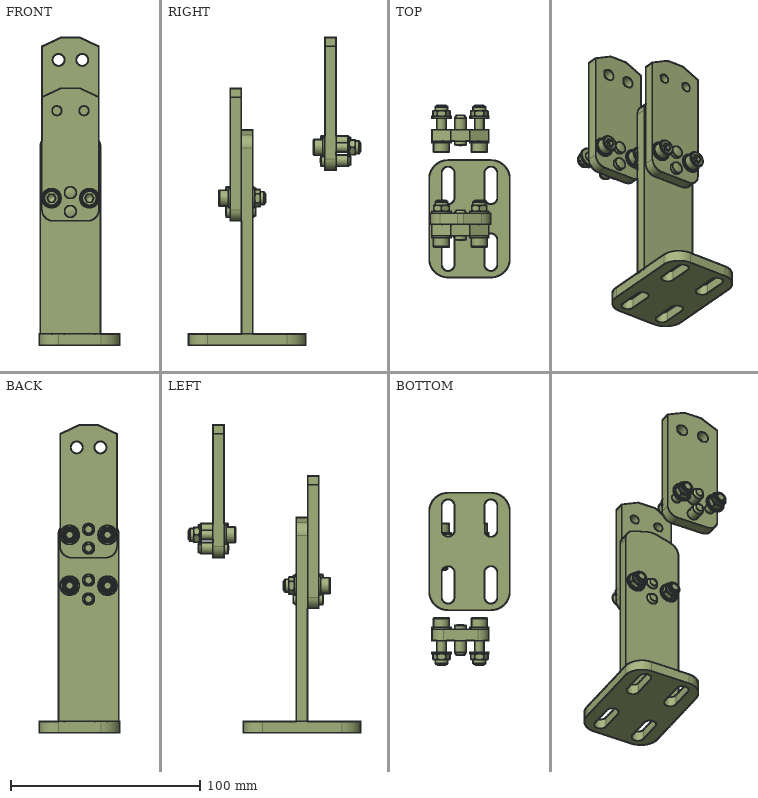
import cadquery as cq
import math

OVERALL_HEIGHT = 162.5

BASE_WIDTH = 42.7
BASE_DEPTH = 62.0
BASE_THICKNESS = 6.0
BASE_CORNER_RADIUS = 10.0
SLOT_WIDTH = 6.7
SLOT_LENGTH = 19.7
SLOT_SPACING_X = 22.6
SLOT_SPACING_Y = 35.3

UPRIGHT_WIDTH = 32.0
UPRIGHT_THICKNESS = 6.0
UPRIGHT_TOP = 113.8
UPRIGHT_FLAT_WIDTH = 3.1
UPRIGHT_SHOULDER_DROP = 4.0
UPRIGHT_SHOULDER_RADIUS = 7.0
UPRIGHT_CENTER_X = 16.5
UPRIGHT_FRONT_Y = (BASE_DEPTH - UPRIGHT_THICKNESS) / 2

PLATE_WIDTH = 30.0
PLATE_THICKNESS = 6.0
PLATE_LENGTH = 70.0
PLATE_FLAT_WIDTH = 10.0
PLATE_SHOULDER_DROP = 4.7
PLATE_CORNER_RADIUS = 6.0
TOP_HOLE_DROP = 11.9

NEAR_PLATE_BOTTOM = 65.7
NEAR_HOLE_DIAMETER = 5.0
NEAR_HOLE_SPACING = 14.3

FAR_SHIFT_Y = 50.0
FAR_PLATE_BOTTOM = OVERALL_HEIGHT - PLATE_LENGTH
FAR_HOLE_DIAMETER = 6.2
FAR_HOLE_SPACING = 12.5

PIN_DIAMETER = 6.2
PIN_FRONT_REACH = 2.0
PIN_DOME_HEIGHT = 0.4
PIN_TAPER_LENGTH = 1.6
PIN_TIP_DIAMETER = 4.2
PIN_HEIGHTS = (5.0, 15.0)

SCREW_SPACING = 20.0
SCREW_HEIGHT = 12.0
SCREW_DIAMETER = 5.0
SCREW_HOLE_DIAMETER = 5.5
WASHER_DIAMETER = 10.0
WASHER_THICKNESS = 1.0
HEAD_DIAMETER = 8.5
HEAD_HEIGHT = 5.0
HEAD_CHAMFER = 0.5
SOCKET_FLATS = 4.0
SOCKET_DEPTH = 2.5
SOCKET_CONE_HEIGHT = 1.3
NUT_FLATS = 8.0
NUT_HEX_HEIGHT = 3.1
COLLAR_DIAMETER = 6.8
NUT_CHAMFER = 0.5
COLLAR_HEIGHT = 2.3
COLLAR_CHAMFER = 0.5
SCREW_TIP_REACH = 0.57
SCREW_TIP_CHAMFER = 0.5

HEX_CORNER_RATIO = 1 / math.cos(math.radians(30))
SCREW_XS = [UPRIGHT_CENTER_X + side * SCREW_SPACING / 2 for side in (-1, 1)]


def rod(x, z, y_start, y_end, diameter):
    """Round bar along Y between two Y positions."""
    return (
        cq.Workplane("XZ", origin=(x, y_start, z))
        .circle(diameter / 2)
        .extrude(y_start - y_end)
    )


def hex_bar(x, z, y_start, y_end, flats, turn):
    """Hexagonal bar along Y; without turn two corners point along X."""
    bar = (
        cq.Workplane("XZ", origin=(x, y_start, z))
        .polygon(6, flats * HEX_CORNER_RATIO)
        .extrude(y_start - y_end)
    )
    return bar.rotate((x, 0, z), (x, 1, z), turn)


def gabled_outline(width, bottom, top, flat_width, shoulder_drop):
    """Upright outline with a short flat top and a slope down to each side."""
    left = UPRIGHT_CENTER_X - width / 2
    right = UPRIGHT_CENTER_X + width / 2
    flat_left = UPRIGHT_CENTER_X - flat_width / 2
    flat_right = UPRIGHT_CENTER_X + flat_width / 2
    shoulder = top - shoulder_drop
    return [
        (left, bottom),
        (right, bottom),
        (right, shoulder),
        (flat_right, top),
        (flat_left, top),
        (left, shoulder),
    ]


def make_base():
    """Rounded rectangle with four slots running along Y."""
    base = (
        cq.Workplane("XY")
        .rect(BASE_WIDTH, BASE_DEPTH)
        .extrude(BASE_THICKNESS)
        .edges("|Z")
        .fillet(BASE_CORNER_RADIUS)
        .faces(">Z")
        .workplane()
        .rarray(SLOT_SPACING_X, SLOT_SPACING_Y, 2, 2)
        .slot2D(SLOT_LENGTH, SLOT_WIDTH, 90)
        .cutThruAll()
    )
    return base.translate((BASE_WIDTH / 2, BASE_DEPTH / 2, 0))


def make_upright():
    """Post with a low gable and rounded shoulders."""
    outline = gabled_outline(
        UPRIGHT_WIDTH, 0, UPRIGHT_TOP, UPRIGHT_FLAT_WIDTH, UPRIGHT_SHOULDER_DROP
    )
    return (
        cq.Workplane("XZ", origin=(0, UPRIGHT_FRONT_Y, 0))
        .polyline(outline)
        .close()
        .extrude(-UPRIGHT_THICKNESS)
        .edges("|Y and (<X or >X)")
        .edges(">Z")
        .fillet(UPRIGHT_SHOULDER_RADIUS)
    )


def make_stand():
    """Base and upright in one piece, bored for the near plate's screws and pins."""
    stand = make_base().union(make_upright())
    y_back = UPRIGHT_FRONT_Y + UPRIGHT_THICKNESS
    for x in SCREW_XS:
        z = NEAR_PLATE_BOTTOM + SCREW_HEIGHT
        stand = stand.cut(rod(x, z, UPRIGHT_FRONT_Y, y_back, SCREW_HOLE_DIAMETER))
    for height in PIN_HEIGHTS:
        z = NEAR_PLATE_BOTTOM + height
        stand = stand.cut(rod(UPRIGHT_CENTER_X, z, UPRIGHT_FRONT_Y, y_back, PIN_DIAMETER))
    return stand


def make_plate(plate_back, bottom, hole_spacing, hole_diameter):
    """Gabled plate with rounded lower corners and two holes near its top."""
    top = bottom + PLATE_LENGTH
    outline = gabled_outline(PLATE_WIDTH, bottom, top, PLATE_FLAT_WIDTH, PLATE_SHOULDER_DROP)
    plate = (
        cq.Workplane("XZ", origin=(0, plate_back, 0))
        .polyline(outline)
        .close()
        .extrude(PLATE_THICKNESS)
        .edges("|Y")
        .edges("<Z")
        .fillet(PLATE_CORNER_RADIUS)
    )
    for side in (-1, 1):
        x = UPRIGHT_CENTER_X + side * hole_spacing / 2
        hole = rod(x, top - TOP_HOLE_DROP, plate_back - PLATE_THICKNESS, plate_back, hole_diameter)
        plate = plate.cut(hole)
    return plate


def make_pin(z, plate_back):
    """Locating pin with a low dome in front and a tapered lead-in at the back."""
    radius = PIN_DIAMETER / 2
    front = plate_back - PLATE_THICKNESS - PIN_FRONT_REACH
    back = plate_back + UPRIGHT_THICKNESS
    dome_radius = (radius**2 + PIN_DOME_HEIGHT**2) / (2 * PIN_DOME_HEIGHT)
    arc_x = radius / 2
    arc_rise = PIN_DOME_HEIGHT - dome_radius + math.sqrt(dome_radius**2 - arc_x**2)
    profile = (
        cq.Workplane("XY")
        .moveTo(0, front - PIN_DOME_HEIGHT)
        .threePointArc((arc_x, front - arc_rise), (radius, front))
        .lineTo(radius, back)
        .lineTo(PIN_TIP_DIAMETER / 2, back + PIN_TAPER_LENGTH)
        .lineTo(0, back + PIN_TAPER_LENGTH)
        .close()
    )
    return profile.revolve(360, (0, 0), (0, 1)).translate((UPRIGHT_CENTER_X, 0, z))


def make_socket(x, z, y_front):
    """Hexagonal socket with two corners along X and a conical floor."""
    corner_radius = SOCKET_FLATS * HEX_CORNER_RATIO / 2
    wall_end = y_front + SOCKET_DEPTH
    apex = wall_end + SOCKET_CONE_HEIGHT
    drilled = (
        cq.Workplane("XY")
        .polyline([(0, y_front), (corner_radius, y_front), (corner_radius, wall_end), (0, apex)])
        .close()
        .revolve(360, (0, 0), (0, 1))
        .translate((x, 0, z))
    )
    return hex_bar(x, z, y_front, apex, SOCKET_FLATS, 0).intersect(drilled)


def make_nut(x, z, y_front, turn):
    """Hexagon with chamfered corners and a round locking collar behind it."""
    hex_back = y_front + NUT_HEX_HEIGHT
    corner_diameter = NUT_FLATS * HEX_CORNER_RATIO
    envelope = rod(x, z, y_front, hex_back, corner_diameter).edges().chamfer(NUT_CHAMFER)
    hexagon = hex_bar(x, z, y_front, hex_back, NUT_FLATS, turn).intersect(envelope)
    collar = rod(x, z, hex_back, hex_back + COLLAR_HEIGHT, COLLAR_DIAMETER)
    return hexagon.union(collar.faces(">Y").chamfer(COLLAR_CHAMFER))


def make_screw(x, z, plate_back, nut_turn):
    """Socket screw with both washers and its lock nut."""
    plate_front = plate_back - PLATE_THICKNESS
    washer_front = plate_front - WASHER_THICKNESS
    head_front = washer_front - HEAD_HEIGHT
    clamp_back = plate_back + UPRIGHT_THICKNESS
    nut_front = clamp_back + WASHER_THICKNESS
    shank_back = nut_front + NUT_HEX_HEIGHT + COLLAR_HEIGHT + SCREW_TIP_REACH

    head = rod(x, z, head_front, washer_front, HEAD_DIAMETER).faces("<Y").chamfer(HEAD_CHAMFER)
    shank = rod(x, z, washer_front, shank_back, SCREW_DIAMETER)
    shank = shank.faces(">Y").chamfer(SCREW_TIP_CHAMFER)
    front_washer = rod(x, z, washer_front, plate_front, WASHER_DIAMETER)
    back_washer = rod(x, z, clamp_back, nut_front, WASHER_DIAMETER)
    nut = make_nut(x, z, nut_front, nut_turn)
    screw = head.union(shank).union(front_washer).union(back_washer).union(nut)
    return screw.cut(make_socket(x, z, head_front))


def make_clamp(plate_back, bottom, hole_spacing, hole_diameter, nut_turn):
    """Plate in one piece with its screws and pins."""
    clamp = make_plate(plate_back, bottom, hole_spacing, hole_diameter)
    for x in SCREW_XS:
        clamp = clamp.union(make_screw(x, bottom + SCREW_HEIGHT, plate_back, nut_turn))
    for height in PIN_HEIGHTS:
        clamp = clamp.union(make_pin(bottom + height, plate_back))
    return clamp


stand = make_stand()
near_clamp = make_clamp(
    UPRIGHT_FRONT_Y, NEAR_PLATE_BOTTOM, NEAR_HOLE_SPACING, NEAR_HOLE_DIAMETER, nut_turn=30
)
far_clamp = make_clamp(
    UPRIGHT_FRONT_Y + FAR_SHIFT_Y, FAR_PLATE_BOTTOM, FAR_HOLE_SPACING, FAR_HOLE_DIAMETER, nut_turn=0
)

result = cq.Compound.makeCompound([stand.val(), near_clamp.val(), far_clamp.val()])